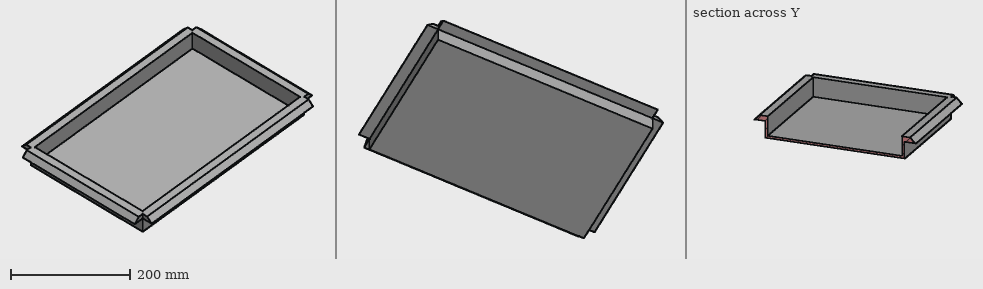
import cadquery as cq

overall_x = 293.19
overall_y = 443.18
overall_z = 40.0

wall_thickness = 5.0
floor_thickness = 5.0

flange_overhang = 20.0
flange_thickness = 10.0
flange_bevel = 10.0

tray_x = overall_x - 2 * flange_overhang
tray_y = overall_y - 2 * flange_overhang
flange_bottom_z = overall_z - flange_thickness


def make_tray():
    """Open-topped rectangular tray standing on Z = 0."""
    block = cq.Workplane("XY").box(tray_x, tray_y, overall_z, centered=(True, True, False))
    cavity = (
        cq.Workplane("XY")
        .workplane(offset=floor_thickness)
        .rect(tray_x - 2 * wall_thickness, tray_y - 2 * wall_thickness)
        .extrude(overall_z - floor_thickness)
    )
    return block.cut(cavity)


def make_flange_pair(plane, tray_width, length):
    """Two opposite rim flanges with sloped outer edges, as long as the tray side."""
    wall_outside = tray_width / 2
    tip = wall_outside + flange_overhang
    pair = cq.Workplane(plane)
    for side in (-1, 1):
        profile = [
            (side * (wall_outside - wall_thickness), flange_bottom_z),
            (side * tip, flange_bottom_z),
            (side * (tip - flange_bevel), overall_z),
            (side * (wall_outside - wall_thickness), overall_z),
        ]
        flange = cq.Workplane(plane).polyline(profile).close().extrude(length / 2, both=True)
        pair = pair.add(flange)
    return pair.combine()


def make_part():
    """Tray with a flange along each of its four sides and open notches at the corners."""
    end_flanges = make_flange_pair("YZ", tray_y, tray_x)
    side_flanges = make_flange_pair("XZ", tray_x, tray_y)
    return make_tray().union(end_flanges).union(side_flanges).clean()


result = make_part()